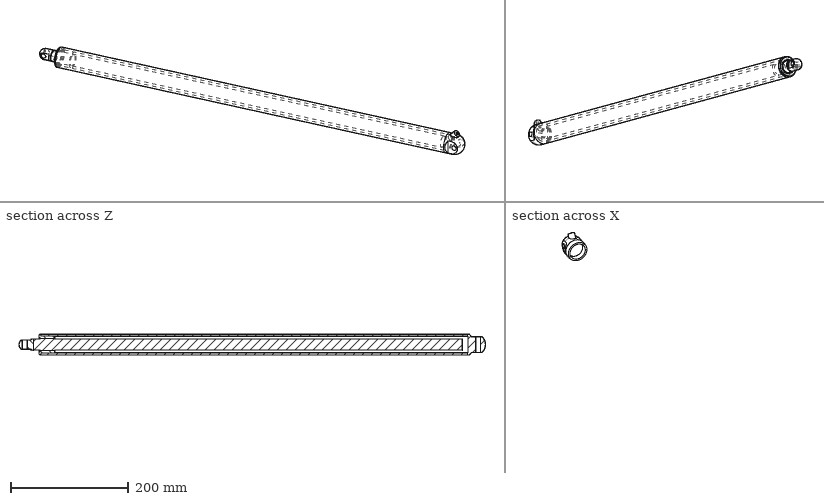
import cadquery as cq
import math

overall_length = 796.0
tube_diameter = 36.0
tube_bore = 28.0
gland_face_x = 34.0
tube_end_x = 766.0

gland_flange = 3.0
gland_spigot = 24.0
gland_edge_chamfer = 1.5
tube_start_x = gland_face_x + gland_flange
wiper_recess_diameter = 24.0
wiper_recess_depth = 1.5

rod_diameter = 20.0
rod_start_x = 25.0
rod_end_x = 756.5

eye_flat_width = 16.0
eye_hole_diameter = 8.0
eye_hole_x = rod_diameter / 2
eye_flat_end_x = 21.0
eye_end_chamfer = 1.0

base_flat_width = 27.0
base_ramp_start_x = 768.0
base_flat_start_x = 772.0
base_hole_x = 783.5
base_nose_centre_x = overall_length - tube_diameter / 2

port_diameter = 12.0
port_bore = 4.0
port_tilt = 45.0
port_length = 16.0
port_bore_depth = 13.0
total_height = 44.0
port_top_z = total_height - tube_diameter / 2
port_top_x = 779.0


def cylinder_x(diameter, start, end):
    """Cylinder on the X axis between two stations."""
    return cq.Workplane("YZ", origin=(start, 0, 0)).circle(diameter / 2).extrude(end - start)


def cross_hole(diameter, x, length):
    """Cylinder along Y, centred on the axis, for cutting an eye hole."""
    return cq.Workplane("XZ", origin=(x, 0, 0)).circle(diameter / 2).extrude(length / 2, both=True)


def side_flats(diameter, width, shoulder_x, flat_start_x, end_x):
    """Two cutters that trim a round body to a given width in Y, reached from the shoulder."""
    radius = diameter / 2
    cutter = cq.Workplane("XY", origin=(0, 0, -radius)).polyline([
        (shoulder_x, radius),
        (flat_start_x, width / 2),
        (end_x, width / 2),
        (end_x, radius),
    ]).close().extrude(diameter)
    return cutter.union(cutter.mirror("XZ"))


def make_tube():
    bore = cylinder_x(tube_bore, tube_start_x, tube_end_x)
    return cylinder_x(tube_diameter, tube_start_x, tube_end_x).cut(bore)


def make_gland():
    gland_end_x = tube_start_x + gland_spigot
    gland = cylinder_x(tube_diameter, gland_face_x, tube_start_x)
    gland = gland.faces("<X").chamfer(gland_edge_chamfer)
    gland = gland.union(cylinder_x(tube_bore, tube_start_x, gland_end_x))
    gland = gland.cut(cylinder_x(rod_diameter, gland_face_x, gland_end_x))
    return gland.cut(cylinder_x(wiper_recess_diameter, gland_face_x, gland_face_x + wiper_recess_depth))


def make_rod():
    return cylinder_x(rod_diameter, rod_start_x, rod_end_x)


def make_rod_eye():
    nose_centre_x = rod_diameter / 2
    nose = cq.Workplane().sphere(rod_diameter / 2).translate((nose_centre_x, 0, 0))
    eye = cylinder_x(rod_diameter, nose_centre_x, rod_start_x)
    eye = eye.faces(">X").chamfer(eye_end_chamfer).union(nose)
    eye = eye.cut(side_flats(rod_diameter, eye_flat_width, eye_flat_end_x, eye_flat_end_x, 0))
    return eye.cut(cross_hole(eye_hole_diameter, eye_hole_x, rod_diameter))


def port_plane():
    """Plane of the port mouth, its normal tilted from Z away from the rod end."""
    tilt = math.radians(port_tilt)
    radius = port_diameter / 2
    mouth = (port_top_x + radius * math.cos(tilt), 0, port_top_z - radius * math.sin(tilt))
    return cq.Plane(
        origin=mouth,
        xDir=(math.cos(tilt), 0, -math.sin(tilt)),
        normal=(math.sin(tilt), 0, math.cos(tilt)),
    )


def port_cylinder(diameter, depth):
    """Cylinder running from the port mouth down its axis."""
    return cq.Workplane(port_plane()).circle(diameter / 2).extrude(-depth)


def make_base():
    nose = cq.Workplane().sphere(tube_diameter / 2).translate((base_nose_centre_x, 0, 0))
    nose = nose.intersect(cylinder_x(tube_diameter, base_nose_centre_x, overall_length))
    base = cylinder_x(tube_diameter, tube_end_x, base_nose_centre_x).union(nose)
    flats = side_flats(
        tube_diameter, base_flat_width, base_ramp_start_x, base_flat_start_x, overall_length
    )
    base = base.cut(flats)
    base = base.cut(cross_hole(eye_hole_diameter, base_hole_x, tube_diameter))
    return base.cut(port_cylinder(port_diameter, port_length))


def make_port():
    return port_cylinder(port_diameter, port_length).cut(port_cylinder(port_bore, port_bore_depth))


tube = make_tube()
gland = make_gland()
rod = make_rod()
rod_eye = make_rod_eye()
base = make_base()
port = make_port()

bodies = (tube, gland, rod, rod_eye, base, port)
result = cq.Compound.makeCompound([body.val() for body in bodies])